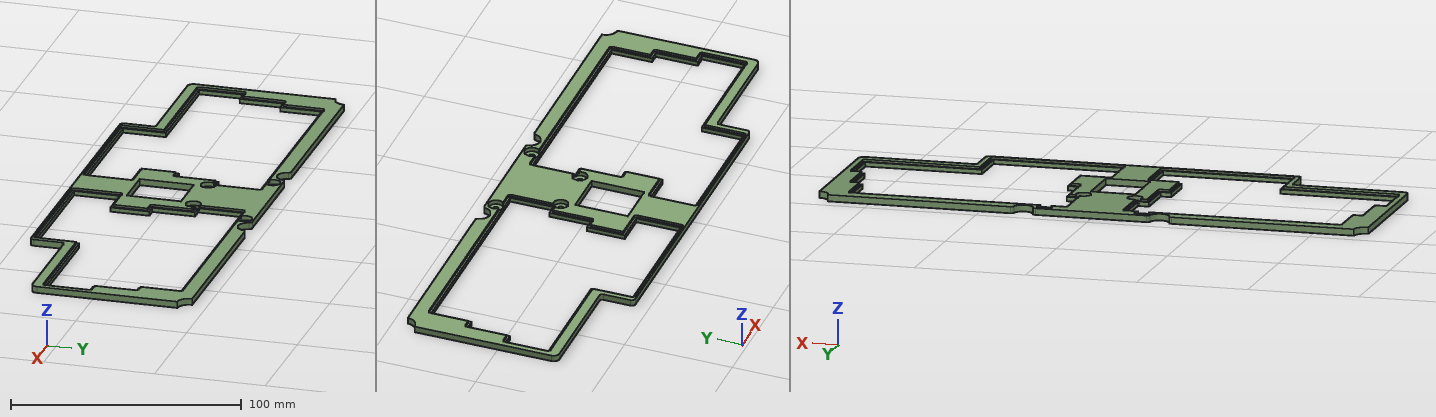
import cadquery as cq

length = 247.0
width = 87.0
thickness = 3.0
half_length = length / 2
back_y = width / 2
front_y = -width / 2

wing_front_y = -28.0
tongue_half_width = 70.9
wing_corner_radius = 2.7
tongue_corner_radius = 1.7
tongue_root_radius = 1.2

notch_x = 30.5
notch_radius = 4.5
notch_center_inset = 0.2
notch_center_y = back_y - notch_center_inset
notch_lip_radius = 1.2
corner_cut_radius = 5.2

rim_width = 1.1
rim_depth = 1.0
opening_back_y = 35.8
opening_front_y = -41.5
opening_wing_front_y = -22.2
opening_tongue_x = 67.2
side_steps_x = (109.9, 114.3, 119.5)
side_steps_y = (17.0, -2.5)
neck_x = 13.5
shoulder_x = 18.5
shoulder_y = 15.8
arm_x = 23.2
arm_back_y = -3.5
arm_front_y = -21.0
stem_x = 9.1

window_width = 20.0
window_depth = 24.5
window_center_y = -5.2

screw_hole_diameter = 2.2
counterbore_diameter = 6.7
counterbore_depth = 2.0
screw_positions = [(22.0, 39.3), (11.5, 13.0)]


def on_both_sides(right_side):
    """Add the mirror image across the YZ plane."""
    return right_side.union(right_side.mirror("YZ"))


def cylinder(x, y, radius, bottom, height):
    return cq.Workplane("XY", origin=(x, y, bottom)).circle(radius).extrude(height)


def make_plate():
    right_half = (
        cq.Workplane("XY")
        .moveTo(0, back_y)
        .lineTo(half_length, back_y)
        .lineTo(half_length, wing_front_y)
        .lineTo(tongue_half_width, wing_front_y)
        .lineTo(tongue_half_width, front_y)
        .lineTo(0, front_y)
        .close()
        .extrude(thickness)
    )
    rounded_corners = [
        (half_length, wing_front_y, wing_corner_radius),
        (tongue_half_width, wing_front_y, tongue_root_radius),
        (tongue_half_width, front_y, tongue_corner_radius),
    ]
    for x, y, radius in rounded_corners:
        corner = cq.selectors.NearestToPointSelector((x, y, thickness / 2))
        right_half = right_half.edges("|Z").edges(corner).fillet(radius)

    right_half = right_half.cut(cylinder(half_length, back_y, corner_cut_radius, 0, thickness))
    right_half = right_half.cut(cylinder(notch_x, notch_center_y, notch_radius, 0, thickness))
    for side in (-1, 1):
        lip_point = (notch_x + side * notch_radius, back_y, thickness / 2)
        lip = cq.selectors.NearestToPointSelector(lip_point)
        right_half = right_half.edges("|Z").edges(lip).fillet(notch_lip_radius)
    return on_both_sides(right_half)


def opening_outline(bottom):
    """Outline of the right-hand opening, clockwise from its inner back corner."""
    points = [
        (neck_x, opening_back_y),
        (side_steps_x[0], opening_back_y),
        (side_steps_x[0], side_steps_y[0]),
        (side_steps_x[1], side_steps_y[0]),
        (side_steps_x[1], side_steps_y[1]),
        (side_steps_x[2], side_steps_y[1]),
        (side_steps_x[2], opening_wing_front_y),
        (opening_tongue_x, opening_wing_front_y),
        (opening_tongue_x, opening_front_y),
        (stem_x, opening_front_y),
        (stem_x, arm_front_y),
        (arm_x, arm_front_y),
        (arm_x, arm_back_y),
        (shoulder_x, arm_back_y),
        (shoulder_x, shoulder_y),
        (neck_x, shoulder_y),
    ]
    return cq.Workplane("XY", origin=(0, 0, bottom)).polyline(points).close()


def make_openings():
    through_cut = opening_outline(0).extrude(thickness)
    rim_floor = thickness - rim_depth
    rim_cut = opening_outline(rim_floor).offset2D(rim_width, "arc").extrude(rim_depth)
    return on_both_sides(through_cut.union(rim_cut))


def make_window():
    return (
        cq.Workplane("XY")
        .center(0, window_center_y)
        .rect(window_width, window_depth)
        .extrude(thickness)
    )


def make_screw_holes():
    cuts = cq.Workplane("XY")
    for x, y in screw_positions:
        hole = cylinder(x, y, screw_hole_diameter / 2, 0, thickness)
        counterbore_floor = thickness - counterbore_depth
        counterbore = cylinder(x, y, counterbore_diameter / 2, counterbore_floor, counterbore_depth)
        cuts = cuts.add(hole.union(counterbore))
    return on_both_sides(cuts.combine())


result = make_plate().cut(make_openings()).cut(make_window()).cut(make_screw_holes())